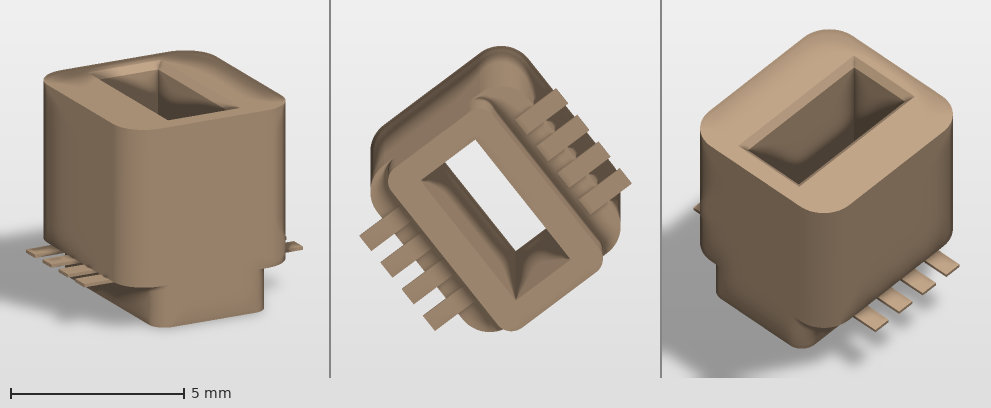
import cadquery as cq

housing_length = 6.0
upper_width = 5.5
upper_height = 4.8
upper_corner_radius = 1.0
foot_width = 3.7
foot_height = 1.3
foot_corner_radius = 0.5
housing_height = foot_height + upper_height

opening_length = 4.5
opening_width = 2.0
lead_in_size = 0.2

contacts_per_row = 4
contact_pitch = 1.0
contact_width = 0.56
contact_length = 1.5
contact_thickness = 0.1
contact_tip_span = 7.16


def rounded_block(length, width, height, corner_radius, base_z):
    block = cq.Workplane("XY", origin=(0, 0, base_z)).rect(length, width).extrude(height)
    return block.edges("|Z").fillet(corner_radius)


def make_opening():
    shaft = cq.Workplane("XY").rect(opening_length, opening_width).extrude(housing_height)
    lead_in = (
        cq.Workplane("XY", origin=(0, 0, housing_height - lead_in_size))
        .rect(opening_length, opening_width)
        .workplane(offset=lead_in_size)
        .rect(opening_length + 2 * lead_in_size, opening_width + 2 * lead_in_size)
        .loft(ruled=True)
    )
    return shaft.union(lead_in)


def make_housing():
    foot = rounded_block(housing_length, foot_width, foot_height, foot_corner_radius, 0)
    upper = rounded_block(
        housing_length, upper_width, upper_height, upper_corner_radius, foot_height
    )
    return foot.union(upper).cut(make_opening())


def make_contact(center_x, side):
    """Flat strip against the underside of the upper block; side is -1 or +1 along Y."""
    center_y = side * (contact_tip_span - contact_length) / 2
    base_z = foot_height - contact_thickness
    return (
        cq.Workplane("XY", origin=(center_x, center_y, base_z))
        .rect(contact_width, contact_length)
        .extrude(contact_thickness)
    )


housing = make_housing()

contacts = []
first_contact_x = -contact_pitch * (contacts_per_row - 1) / 2
for side in (-1, 1):
    for index in range(contacts_per_row):
        contact = make_contact(first_contact_x + index * contact_pitch, side)
        contacts.append(contact.val())

result = cq.Compound.makeCompound([housing.val(), *contacts])